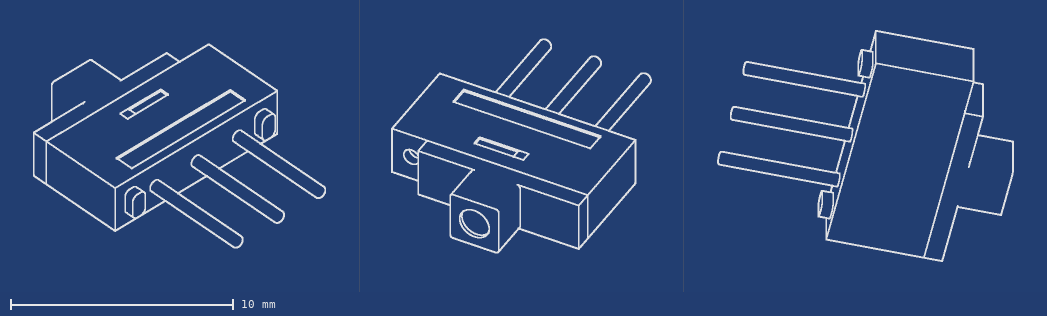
import cadquery as cq


total_length = 12.85
housing_width = 10.0
thickness = 2.5

lever_length = 2.0
lever_width = 2.48
lever_y = -0.76
lever_edge_radius = 0.15
dimple_diameter = 1.5
dimple_depth = 0.2
plate_length = 0.85
plate_width = 8.2
indicator_size = 0.5

housing_length = 4.5
recess_depth = 0.1
window_offset = 0.84
window_width = 2.5
label_recess_length = 1.0
label_recess_width = 7.0
label_recess_margin = 0.5
front_hole_diameter = 0.8
front_hole_depth = 0.5
standoff_length = 0.5
standoff_width = 0.78
standoff_height = 1.35
standoff_corner_radius = 0.31
standoff_y = 4.0

pin_count = 3
pin_pitch = 2.55
pin_diameter = 0.6
pin_tip_radius = 0.1

plate_x = lever_length
housing_x = plate_x + plate_length
rear_x = housing_x + housing_length
pin_length = total_length - rear_x
top_z = thickness / 2
window_x = housing_x + window_offset
window_end_x = window_x + indicator_size
label_recess_x = rear_x - label_recess_margin - label_recess_length
indicator_y = -window_width / 2 + indicator_size / 2
plate_y = -housing_width / 2 + plate_width / 2


def block(x, length, width, height, y=0, z=0):
    """A box that starts at x and is centred on y and z."""
    return cq.Workplane().box(length, width, height, centered=(False, True, True)).translate((x, y, z))


def rod(x, length, diameter, y=0):
    """A round bar along X that starts at x."""
    return cq.Workplane("YZ", origin=(x, y, 0)).circle(diameter / 2).extrude(length)


def top_recess(x, length, width):
    """The volume of a shallow rectangular recess in the top face."""
    return block(x, length, width, recess_depth, z=top_z - recess_depth / 2)


def make_indicator():
    """An arm into the housing and a post from it up to the top face, flush with it."""
    arm = block(housing_x, window_end_x - housing_x, indicator_size, indicator_size, y=indicator_y)
    post = block(window_x, indicator_size, indicator_size, top_z, y=indicator_y, z=top_z / 2)
    return arm.union(post)


def make_slider():
    """The plate against the housing, with the lever and the indicator on it."""
    lever = block(0, lever_length, lever_width, thickness, y=lever_y)
    lever = lever.edges("|X").fillet(lever_edge_radius)
    plate = block(plate_x, plate_length, plate_width, thickness, y=plate_y)
    dimple = rod(0, dimple_depth, dimple_diameter, y=lever_y)
    return plate.union(lever).cut(dimple).union(make_indicator()).solids().val()


def make_standoff(y):
    """A foot with rounded corners on the rear face."""
    foot = block(rear_x, standoff_length, standoff_width, standoff_height, y=y)
    return foot.edges("|X").fillet(standoff_corner_radius)


def make_housing():
    """The case, with its recesses, front hole, standoffs and room for the indicator."""
    body = block(housing_x, housing_length, housing_width, thickness)
    body = body.cut(top_recess(window_x, indicator_size, window_width))
    body = body.cut(top_recess(label_recess_x, label_recess_length, label_recess_width))
    body = body.cut(rod(housing_x, front_hole_depth, front_hole_diameter, y=standoff_y))
    for side in (-1, 1):
        body = body.union(make_standoff(side * standoff_y))
    return body.cut(make_indicator()).solids().val()


def make_pin(y):
    """A straight pin on the rear face, rounded at its tip."""
    pin = rod(rear_x, pin_length, pin_diameter, y=y)
    return pin.faces(">X").edges().fillet(pin_tip_radius).solids().val()


housing = make_housing()
slider = make_slider()
pins = []
for index in range(pin_count):
    pins.append(make_pin((index - (pin_count - 1) / 2) * pin_pitch))

result = cq.Compound.makeCompound([housing, slider, *pins])